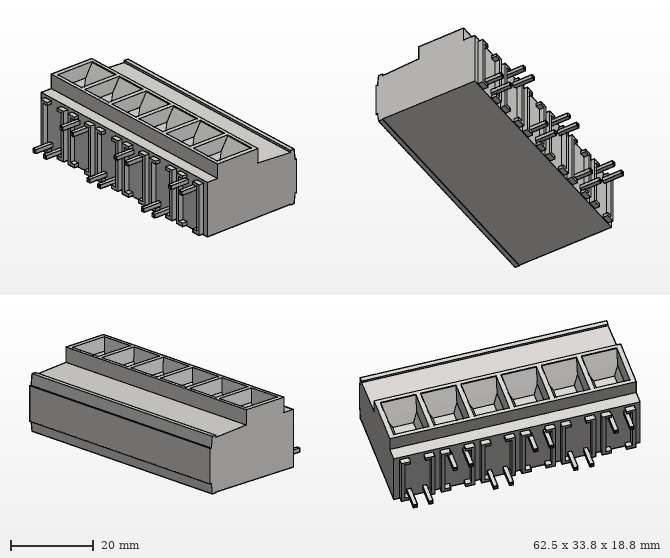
import cadquery as cq


poles = 6
pitch = 10.2
length = 62.5

height = 18.8
shoulder_height = 14.9
tower_front = 3.2
tower_rear = 16.0
lip_front = 26.3
lip_rear = 27.5
lip_step_top = 0.55
lip_step_bottom = 0.2
draft_rear = 27.8
pad_rear = 28.25
pad_bottom = 2.75
pad_top = 11.95

funnel_width = 8.95
funnel_front = 4.2
funnel_rear = 15.05
rim_depth = 0.25
mid_depth = 3.45
floor_depth = 5.4
mid_width = 7.8
mid_rear = funnel_rear - 2.55
floor_width = 5.3
floor_front = funnel_front + 1.0
floor_rear = funnel_rear - 4.05
front_wall_slope = (floor_front - funnel_front) / (floor_depth - rim_depth)
mid_front = funnel_front + front_wall_slope * (mid_depth - rim_depth)

rib_outer_width = 8.55
rib_inner_width = 6.75
rib_gap = 3.75
rib_bottom = 0.25
rib_top = 14.05
hook_bottom = 1.2
hook_top = 13.25
rib_depth = 1.4

pin_size = 1.05
pin_spacing = 4.0
pin_offset = 0.05
pin_reach = 5.55
pin_low = 2.2
pin_high = 12.4
pin_chamfer = 0.2
embed = 0.6

pole_centers = [(i - (poles - 1) / 2) * pitch for i in range(poles)]


def box(x_range, y_range, z_range):
    """Axis-aligned box spanning the three given ranges."""
    starts, ends = zip(x_range, y_range, z_range)
    sizes = [end - start for start, end in zip(starts, ends)]
    return cq.Workplane("XY").box(*sizes, centered=False).translate(starts)


def housing():
    """Constant cross-section in the YZ plane, extruded along the whole row."""
    outline = [
        (0, 0),
        (0, shoulder_height),
        (tower_front, shoulder_height),
        (tower_front, height),
        (tower_rear, height),
        (tower_rear, shoulder_height),
        (lip_front, shoulder_height - lip_step_top),
        (lip_front, shoulder_height),
        (lip_rear, shoulder_height),
        (draft_rear, pad_top),
        (pad_rear, pad_top),
        (pad_rear, pad_bottom),
        (draft_rear, pad_bottom),
        (lip_rear, 0),
        (lip_front, 0),
        (lip_front, lip_step_bottom),
    ]
    return cq.Workplane("YZ").polyline(outline).close().extrude(length / 2, both=True)


def funnel_stage(top, bottom):
    """Tapered stage between two rectangles, each given as (depth, width, front, rear)."""
    wires = []
    for depth, width, front, rear in (top, bottom):
        rectangle = (
            cq.Workplane("XY", origin=(0, (front + rear) / 2, height - depth))
            .rect(width, rear - front)
        )
        wires.append(rectangle.wires().val())
    return cq.Workplane(cq.Solid.makeLoft(wires, True))


def funnel():
    """Wire entry: straight rim, steep upper stage and flatter lower stage down to the floor."""
    mouth = (0, funnel_width, funnel_front, funnel_rear)
    rim = (rim_depth, funnel_width, funnel_front, funnel_rear)
    middle = (mid_depth, mid_width, mid_front, mid_rear)
    floor = (floor_depth, floor_width, floor_front, floor_rear)
    return (
        funnel_stage(mouth, rim)
        .union(funnel_stage(rim, middle))
        .union(funnel_stage(middle, floor))
    )


def standoff_ribs():
    """Two facing C-shaped ribs, left as the frame remaining outside a recess and a central gap."""
    depth_range = (-rib_depth, embed)
    half_outer = rib_outer_width / 2
    half_inner = rib_inner_width / 2
    half_gap = rib_gap / 2
    frame = box((-half_outer, half_outer), depth_range, (rib_bottom, rib_top))
    recess = box((-half_inner, half_inner), depth_range, (hook_bottom, hook_top))
    gap = box((-half_gap, half_gap), depth_range, (rib_bottom, rib_top))
    return frame.cut(recess).cut(gap)


def pin(x, z):
    """Square solder pin with a chamfered tip, centred on (x, z)."""
    half = pin_size / 2
    blank = box((x - half, x + half), (-pin_reach, embed), (z - half, z + half))
    return blank.faces("<Y").chamfer(pin_chamfer)


result = housing()
for index, center in enumerate(pole_centers):
    pin_z = pin_low if index % 2 == 0 else pin_high
    result = result.cut(funnel().translate((center, 0, 0)))
    result = result.union(standoff_ribs().translate((center, 0, 0)))
    for side in (-1, 1):
        pin_x = center + pin_offset + side * pin_spacing / 2
        result = result.union(pin(pin_x, pin_z))